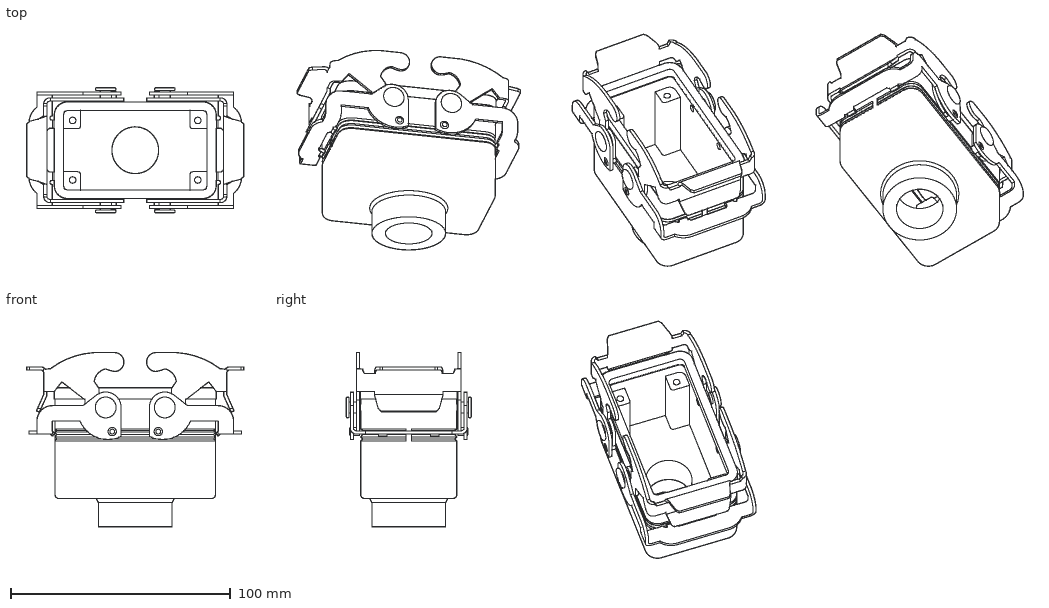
import cadquery as cq
import math


BODY_LENGTH = 73.1
BODY_WIDTH = 43.8
BODY_BOTTOM = 12.9
BODY_CORNER = 5.9
BASE_ROUND = 2.0

RIM_LENGTH = 73.8
RIM_WIDTH = 44.1
RIM_BOTTOM = 58.4
RIM_TOP = 63.4

MOUTH_LENGTH = 65.3
MOUTH_WIDTH = 36.2
MOUTH_CORNER = 2.2
UNDERCUT = 0.5
CAVITY_LENGTH = MOUTH_LENGTH + 2 * UNDERCUT
CAVITY_WIDTH = MOUTH_WIDTH + 2 * UNDERCUT
CAVITY_CORNER = 3.0
FLOOR_TOP = 16.8

NECK_RADIUS = 16.8
NECK_FLARE = 1.0
NECK_FLARE_HEIGHT = 1.8
BORE_RADIUS = 10.6

GROOVES = [(44.6, 43.9, 43.2), (43.2, 42.2, 41.0), (41.0, 40.1, 39.2)]
GROOVE_DEPTH = 0.9
GROOVE_BRIDGE = 2.6

POST_LENGTH = 7.7 + UNDERCUT
POST_WIDTH = 8.3 + UNDERCUT
POST_TOP = 51.3
POST_ROUND = 1.3
SCREW_X = 28.5
SCREW_Y = 13.6
SCREW_RADIUS = 1.5
SCREW_DEPTH = 11.9

SHEET = 1.5

PIN_X = -13.5
PIN_Z = 54.4
PIN_TIP_RADIUS = 1.6
PIN_RADIUS = 2.6
PIN_HEAD_RADIUS = 4.8
PIN_HEAD_INNER_Y = 27.1
PIN_HEAD_OUTER_Y = 28.5
RIVET_X = -10.5
RIVET_Z = 43.4
RIVET_RADIUS = 1.9
RIVET_HEIGHT = 0.4
RIVET_BEVEL = 0.8

LEVER_OUTER_Y = 23.9
LEVER_INNER_Y = LEVER_OUTER_Y - SHEET
LEVER_X = -41.8
LEVER_INNER_X = LEVER_X + SHEET
LEVER_BEND = 3.0
LEVER_TOP = 79.5
LEVER_LOBE_X = -9.3
END_PLATE_TOP = 70.0
END_PLATE_BOTTOM = 61.7
END_NOTCH_HALF_WIDTH = 20.2
END_NOTCH_HEIGHT = 2.3
END_NOTCH_SLANT = 1.2

TAB_X = -49.5
TAB_TOP = 72.9
TAB_BEND = 2.8
TAB_HALF_WIDTH = 15.6
FLAP_KNEE = 60.3
FLAP_BOTTOM = 52.3

BRACKET_OUTER_Y = 26.6
BRACKET_INNER_Y = BRACKET_OUTER_Y - SHEET
BRACKET_X = -44.8
BRACKET_INNER_X = -37.7
BRACKET_BEND = 2.9
FLANGE_BOTTOM = 42.3
FLANGE_TOP = FLANGE_BOTTOM + SHEET
HANDLE_X = -48.4
ARM_TOP = 55.3
ARM_BOTTOM = 48.2
ARM_HEAD_RADIUS = 7.0
ARM_HEAD_START_X = -23.8
FOOT_INNER_Y = 9.9
FOOT_OUTER_Y = 13.9
NOTCH_X = -37.9
NOTCH_Y = 14.6
NOTCH_RADIUS = 0.9


def block(x0, x1, y0, y1, z0, z1):
    return cq.Workplane("XY").box(x1 - x0, y1 - y0, z1 - z0, centered=False).translate((x0, y0, z0))


def rounded_block(length, width, z0, z1, corner):
    plate = cq.Workplane("XY").workplane(offset=z0).rect(length, width).extrude(z1 - z0)
    return plate.edges("|Z").fillet(corner)


def rod(radius, x, z, y0, y1):
    """Round rod along Y, from y0 up to y1."""
    return cq.Workplane("XZ", origin=(x, y0, z)).circle(radius).extrude(y0 - y1)


def side_plane(half_width):
    """XZ plane at Y = half_width; extruding by twice that spans both sides of the part."""
    return cq.Workplane("XZ", origin=(0, half_width, 0))


def with_mirror_y(solid):
    return solid.union(solid.mirror("XZ"))


def both_sides_of_axis(points):
    """Closed list of points: the half outline, then its reflection across the second axis."""
    return points + [(-u, v) for u, v in reversed(points)]


def make_neck():
    """Round neck that flares out under the body."""
    flare_radius = NECK_RADIUS + NECK_FLARE
    return (
        cq.Workplane("XZ")
        .polyline([
            (0, 0),
            (NECK_RADIUS, 0),
            (NECK_RADIUS, BODY_BOTTOM - NECK_FLARE_HEIGHT),
            (flare_radius, BODY_BOTTOM),
            (flare_radius, FLOOR_TOP),
            (0, FLOOR_TOP),
        ])
        .close()
        .revolve(360, (0, 0, 0), (0, 1, 0))
    )


def make_cavity():
    """Space inside the housing, with the four corner posts left standing."""
    cavity = rounded_block(CAVITY_LENGTH, CAVITY_WIDTH, FLOOR_TOP, RIM_BOTTOM, CAVITY_CORNER)
    posts = (
        cq.Workplane("XY", origin=(0, 0, FLOOR_TOP))
        .rect(CAVITY_LENGTH, CAVITY_WIDTH, forConstruction=True)
        .vertices()
        .rect(2 * POST_LENGTH, 2 * POST_WIDTH)
        .extrude(POST_TOP - FLOOR_TOP)
        .edges("|Z")
        .fillet(POST_ROUND)
    )
    mouth = rounded_block(MOUTH_LENGTH, MOUTH_WIDTH, RIM_BOTTOM, RIM_TOP, MOUTH_CORNER)
    return cavity.cut(posts).union(mouth)


def make_screw_drill():
    """Blind hole with a conical tip, its mouth at the top of a post."""
    hole_bottom = cq.Vector(0, 0, POST_TOP - SCREW_DEPTH)
    tip_bottom = hole_bottom - cq.Vector(0, 0, SCREW_RADIUS)
    shaft = cq.Solid.makeCylinder(SCREW_RADIUS, SCREW_DEPTH, hole_bottom)
    tip = cq.Solid.makeCone(0, SCREW_RADIUS, SCREW_RADIUS, tip_bottom)
    return cq.Workplane(shaft).union(cq.Workplane(tip))


def body_section(inset):
    section = cq.Sketch().rect(BODY_LENGTH - 2 * inset, BODY_WIDTH - 2 * inset)
    return section.vertices().fillet(BODY_CORNER - inset)


def groove_core(z0, inset0, z1, inset1):
    """Tapered slice of the body that stays inside a groove."""
    lower = body_section(inset0)
    upper = body_section(inset1).moved(cq.Location(cq.Vector(0, 0, z1 - z0)))
    return cq.Workplane("XY").workplane(offset=z0).placeSketch(lower, upper).loft()


def groove_ring(top, valley, bottom):
    """V-shaped ring that cuts one groove round the body, broken at the two end bridges."""
    ring = rounded_block(RIM_LENGTH, RIM_WIDTH, bottom, top, BODY_CORNER)
    ring = ring.cut(groove_core(bottom, 0, valley, GROOVE_DEPTH))
    ring = ring.cut(groove_core(valley, GROOVE_DEPTH, top, 0))
    half_bridge = GROOVE_BRIDGE / 2
    return ring.cut(block(-RIM_LENGTH, RIM_LENGTH, -half_bridge, half_bridge, bottom, top))


def make_housing():
    body = rounded_block(BODY_LENGTH, BODY_WIDTH, BODY_BOTTOM, RIM_BOTTOM, BODY_CORNER)
    body = body.faces("<Z").edges().fillet(BASE_ROUND)
    body = body.union(rounded_block(RIM_LENGTH, RIM_WIDTH, RIM_BOTTOM, RIM_TOP, BODY_CORNER))
    body = body.union(make_neck())
    body = body.cut(make_cavity())
    body = body.cut(cq.Workplane("XY").circle(BORE_RADIUS).extrude(FLOOR_TOP))

    drill = make_screw_drill()
    for x in (-SCREW_X, SCREW_X):
        for y in (-SCREW_Y, SCREW_Y):
            body = body.cut(drill.translate((x, y, 0)))
    for top, valley, bottom in GROOVES:
        body = body.cut(groove_ring(top, valley, bottom))
    for x in (PIN_X, -PIN_X):
        body = body.cut(rod(PIN_TIP_RADIUS, x, PIN_Z, -BODY_WIDTH, BODY_WIDTH))
    return body


def hook_outline():
    """Side outline of the lever, from the end plate over the hook and round the pivot lobe."""
    return (
        side_plane(LEVER_OUTER_Y)
        .moveTo(LEVER_X, 71.9)
        .lineTo(-38.6, 72.1)
        .threePointArc((-30.9, 76.6), (-18.8, LEVER_TOP))
        .lineTo(-9.2, LEVER_TOP)
        .threePointArc((-6.0, 72.4), (-9.2, 70.8))
        .threePointArc((-10.9, 71.1), (-13.5, 72.0))
        .threePointArc((-16.9, 70.0), (-18.6, 66.2))
        .lineTo(-16.5, 63.1)
        .lineTo(-16.5, 57.2)
        .threePointArc((-11.6, 58.1), (LEVER_LOBE_X, PIN_Z))
        .lineTo(LEVER_LOBE_X, FLANGE_BOTTOM)
        .lineTo(-14.45, FLANGE_BOTTOM)
        .threePointArc((-20.8, 47.5), (-22.9, 56.0))
        .lineTo(-22.9, 57.9)
        .lineTo(-33.5, 66.0)
        .lineTo(-36.9, END_PLATE_BOTTOM)
        .lineTo(LEVER_X, END_PLATE_BOTTOM)
        .close()
        .extrude(2 * LEVER_OUTER_Y)
    )


def lever_strip():
    """U-bent strip trimmed to the hook outline, with its end plate lowered in the middle."""
    outer = block(LEVER_X, 0, -LEVER_OUTER_Y, LEVER_OUTER_Y, FLANGE_BOTTOM, LEVER_TOP)
    outer = outer.edges("|Z and <X").fillet(LEVER_BEND)
    inner = block(LEVER_INNER_X, 0, -LEVER_INNER_Y, LEVER_INNER_Y, FLANGE_BOTTOM, LEVER_TOP)
    inner = inner.edges("|Z and <X").fillet(LEVER_BEND - SHEET)
    end_notch = (
        cq.Workplane("YZ", origin=(LEVER_X, 0, 0))
        .polyline(both_sides_of_axis([
            (END_NOTCH_HALF_WIDTH, END_PLATE_TOP),
            (END_NOTCH_HALF_WIDTH + END_NOTCH_SLANT, END_PLATE_TOP + END_NOTCH_HEIGHT),
        ]))
        .close()
        .extrude(SHEET)
    )
    return outer.cut(inner).intersect(hook_outline()).cut(end_notch)


def lever_tab():
    """Thumb tab that bends outward from the top of the end plate."""
    outer_bend = TAB_BEND
    inner_bend = TAB_BEND - SHEET
    bend_x = LEVER_INNER_X - outer_bend
    bend_z = TAB_TOP - outer_bend
    root_z = bend_z - SHEET
    diagonal = math.sqrt(0.5)
    outer_mid = (bend_x + outer_bend * diagonal, bend_z + outer_bend * diagonal)
    inner_mid = (bend_x + inner_bend * diagonal, bend_z + inner_bend * diagonal)
    profile = (
        side_plane(TAB_HALF_WIDTH)
        .moveTo(TAB_X, TAB_TOP)
        .lineTo(bend_x, TAB_TOP)
        .threePointArc(outer_mid, (LEVER_INNER_X, bend_z))
        .lineTo(LEVER_INNER_X, root_z)
        .lineTo(LEVER_X, root_z)
        .lineTo(LEVER_X, bend_z)
        .threePointArc(inner_mid, (bend_x, TAB_TOP - SHEET))
        .lineTo(TAB_X, TAB_TOP - SHEET)
        .close()
        .extrude(2 * TAB_HALF_WIDTH)
    )
    half_plan = [(TAB_X, 12.0), (-48.1, 13.2), (bend_x, 14.5), (LEVER_INNER_X, TAB_HALF_WIDTH)]
    plan = (
        cq.Workplane("XY", origin=(0, 0, root_z))
        .polyline(half_plan + [(x, -y) for x, y in reversed(half_plan)])
        .close()
        .extrude(TAB_TOP - root_z)
    )
    return profile.intersect(plan)


def lever_flap():
    """Flap that leans outward from the bottom of the end plate."""
    tip_x = -45.0
    profile = (
        side_plane(TAB_HALF_WIDTH)
        .polyline([
            (LEVER_X, END_PLATE_BOTTOM),
            (LEVER_X, FLAP_KNEE),
            (tip_x, 52.85),
            (-43.6, FLAP_BOTTOM),
            (LEVER_INNER_X, 59.6),
            (LEVER_INNER_X, END_PLATE_BOTTOM),
        ])
        .close()
        .extrude(2 * TAB_HALF_WIDTH)
    )
    face = (
        cq.Workplane("YZ", origin=(tip_x, 0, 0))
        .polyline(both_sides_of_axis([
            (TAB_HALF_WIDTH, END_PLATE_BOTTOM),
            (TAB_HALF_WIDTH, FLAP_KNEE),
            (14.0, 54.0),
            (12.3, FLAP_BOTTOM),
        ]))
        .close()
        .extrude(LEVER_INNER_X - tip_x)
    )
    return profile.intersect(face)


def bracket_handle():
    """Flange under the lever, with the bends that turn up into the two arms."""
    bend_top = FLANGE_BOTTOM + BRACKET_BEND
    outer = block(HANDLE_X, 0, -BRACKET_OUTER_Y, BRACKET_OUTER_Y, FLANGE_BOTTOM, ARM_TOP)
    outer = outer.edges("|X and <Z").fillet(BRACKET_BEND)
    inner = block(HANDLE_X, 0, -BRACKET_INNER_Y, BRACKET_INNER_Y, FLANGE_TOP, ARM_TOP)
    inner = inner.edges("|X and <Z").fillet(BRACKET_BEND - SHEET)
    half_plan = (
        cq.Workplane("XY", origin=(0, 0, FLANGE_BOTTOM))
        .moveTo(-40.2, 0)
        .lineTo(-40.2, 8.9)
        .lineTo(-39.2, FOOT_INNER_Y)
        .lineTo(BRACKET_INNER_X, FOOT_INNER_Y)
        .lineTo(BRACKET_INNER_X, BRACKET_OUTER_Y)
        .lineTo(BRACKET_X, BRACKET_OUTER_Y)
        .lineTo(BRACKET_X, 19.6)
        .threePointArc((-47.6, 16.1), (HANDLE_X, 12.8))
        .lineTo(HANDLE_X, 0)
        .close()
        .extrude(bend_top - FLANGE_BOTTOM)
    )
    notches = (
        cq.Workplane("XY", origin=(0, 0, FLANGE_BOTTOM))
        .pushPoints([(NOTCH_X, NOTCH_Y), (NOTCH_X, -NOTCH_Y)])
        .circle(NOTCH_RADIUS)
        .extrude(SHEET)
    )
    return outer.cut(inner).intersect(with_mirror_y(half_plan)).cut(notches)


def bracket_arm():
    """Flat arm on the +Y side, from the handle to the round head on the pin."""
    reach_x = ARM_HEAD_START_X - PIN_X
    reach_z = ARM_TOP - PIN_Z
    tangent_angle = math.atan2(reach_z, reach_x) - math.acos(ARM_HEAD_RADIUS / math.hypot(reach_x, reach_z))
    tangent_point = (
        PIN_X + ARM_HEAD_RADIUS * math.cos(tangent_angle),
        PIN_Z + ARM_HEAD_RADIUS * math.sin(tangent_angle),
    )
    head_edge_x = PIN_X + ARM_HEAD_RADIUS
    bend_top = FLANGE_BOTTOM + BRACKET_BEND
    return (
        side_plane(BRACKET_OUTER_Y)
        .moveTo(BRACKET_X, bend_top)
        .lineTo(BRACKET_X, ARM_BOTTOM)
        .threePointArc((-42.8, 53.2), (BRACKET_INNER_X, ARM_TOP))
        .lineTo(ARM_HEAD_START_X, ARM_TOP)
        .lineTo(*tangent_point)
        .threePointArc((PIN_X, PIN_Z + ARM_HEAD_RADIUS), (head_edge_x, PIN_Z))
        .lineTo(head_edge_x, 41.2)
        .threePointArc((-12.5, 39.8), (-25.1, ARM_BOTTOM))
        .lineTo(BRACKET_INNER_X, ARM_BOTTOM)
        .lineTo(BRACKET_INNER_X, bend_top)
        .close()
        .extrude(SHEET)
    )


def bracket_foot():
    """Small stop on the +Y half of the flange, bevelled toward the housing grooves."""
    root_x = BRACKET_INNER_X - 1.0
    return (
        side_plane(FOOT_OUTER_Y)
        .polyline([
            (BRACKET_INNER_X, FLANGE_TOP),
            (-36.6, 42.6),
            (BRACKET_INNER_X, 41.4),
            (root_x, FLANGE_BOTTOM),
            (root_x, FLANGE_TOP),
        ])
        .close()
        .extrude(FOOT_OUTER_Y - FOOT_INNER_Y)
    )


def make_pin():
    """Stepped pivot pin: tip through the wall, shank through the plates, round-rimmed head."""
    tip_y = CAVITY_WIDTH / 2
    rim = (PIN_HEAD_OUTER_Y - PIN_HEAD_INNER_Y) / 2
    return (
        cq.Workplane("XY", origin=(PIN_X, 0, PIN_Z))
        .moveTo(0, tip_y)
        .lineTo(PIN_TIP_RADIUS, tip_y)
        .lineTo(PIN_TIP_RADIUS, LEVER_INNER_Y)
        .lineTo(PIN_RADIUS, LEVER_INNER_Y)
        .lineTo(PIN_RADIUS, PIN_HEAD_INNER_Y)
        .lineTo(PIN_HEAD_RADIUS - rim, PIN_HEAD_INNER_Y)
        .threePointArc((PIN_HEAD_RADIUS, PIN_HEAD_INNER_Y + rim), (PIN_HEAD_RADIUS - rim, PIN_HEAD_OUTER_Y))
        .lineTo(0, PIN_HEAD_OUTER_Y)
        .close()
        .revolve(360, (0, 0, 0), (0, 1, 0))
    )


def make_rivet():
    rivet = rod(RIVET_RADIUS, RIVET_X, RIVET_Z, LEVER_INNER_Y, BRACKET_OUTER_Y + RIVET_HEIGHT)
    return rivet.faces(">Y").chamfer(RIVET_HEIGHT, RIVET_BEVEL)


def make_latch():
    lever = lever_strip().union(lever_tab()).union(lever_flap())
    bracket = bracket_handle().union(with_mirror_y(bracket_arm())).union(with_mirror_y(bracket_foot()))
    return lever.union(bracket).union(with_mirror_y(make_pin())).union(with_mirror_y(make_rivet()))


housing = make_housing()
left_latch = make_latch()
right_latch = left_latch.mirror("YZ")
result = cq.Compound.makeCompound([
    housing.solids().val(),
    left_latch.solids().val(),
    right_latch.solids().val(),
])